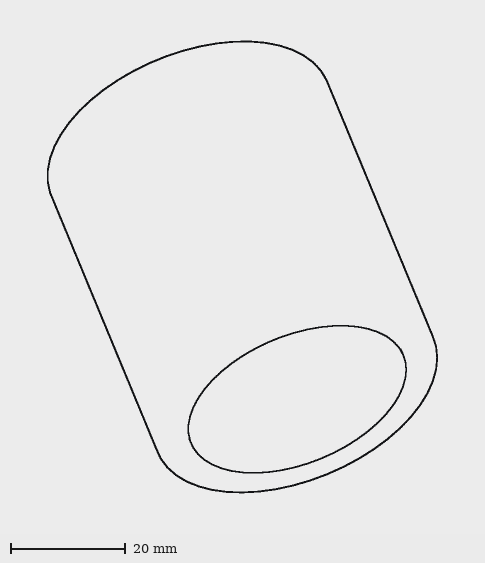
import cadquery as cq

length = 60.0
outer_diameter = 52.0
bore_diameter = 40.0
edge_radius = 1.0

tube = (
    cq.Workplane("YZ", origin=(-length / 2, 0, 0))
    .circle(outer_diameter / 2)
    .circle(bore_diameter / 2)
    .extrude(length)
)

outer_edges = cq.selectors.RadiusNthSelector(-1)
result = tube.edges("%CIRCLE").edges(outer_edges).fillet(edge_radius)